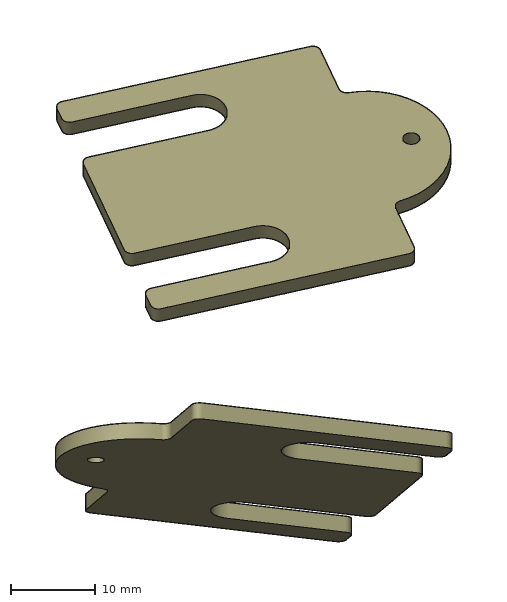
import cadquery as cq

overall_length = 42.95
body_width = 38.0
body_length = 33.0
thickness = 2.0
corner_radius = 1.0

slot_width = 6.4
slot_depth = 19.2
slot_spacing = 24.05

hole_diameter = 2.0
hole_height = 38.5

head_radius = overall_length - body_length


def plate():
    """Rectangular body standing on Y = 0, with a round head on its top edge."""
    body = (
        cq.Workplane("XY")
        .center(0, body_length / 2)
        .rect(body_width, body_length)
        .extrude(thickness)
    )
    head = cq.Workplane("XY").center(0, body_length).circle(head_radius).extrude(thickness)
    return body.union(head)


def slot(center_x):
    """Round-ended slot, open at the bottom edge of the body."""
    half_width = slot_width / 2
    straight_depth = slot_depth - half_width
    return (
        cq.Workplane("XY")
        .moveTo(center_x - half_width, 0)
        .lineTo(center_x - half_width, straight_depth)
        .threePointArc((center_x, slot_depth), (center_x + half_width, straight_depth))
        .lineTo(center_x + half_width, 0)
        .close()
        .extrude(thickness)
    )


def upright_edges_at(y):
    """Selector for the edges whose centre lies on the line Y = y."""
    margin = corner_radius / 2
    return cq.selectors.BoxSelector(
        (-body_width, y - margin, 0), (body_width, y + margin, thickness)
    )


result = plate()
for side in (-1, 1):
    result = result.cut(slot(side * slot_spacing / 2))

rounded_edges = upright_edges_at(0) + upright_edges_at(body_length)
result = result.edges("|Z").edges(rounded_edges).fillet(corner_radius)

hole = cq.Workplane("XY").center(0, hole_height).circle(hole_diameter / 2).extrude(thickness)
result = result.cut(hole)